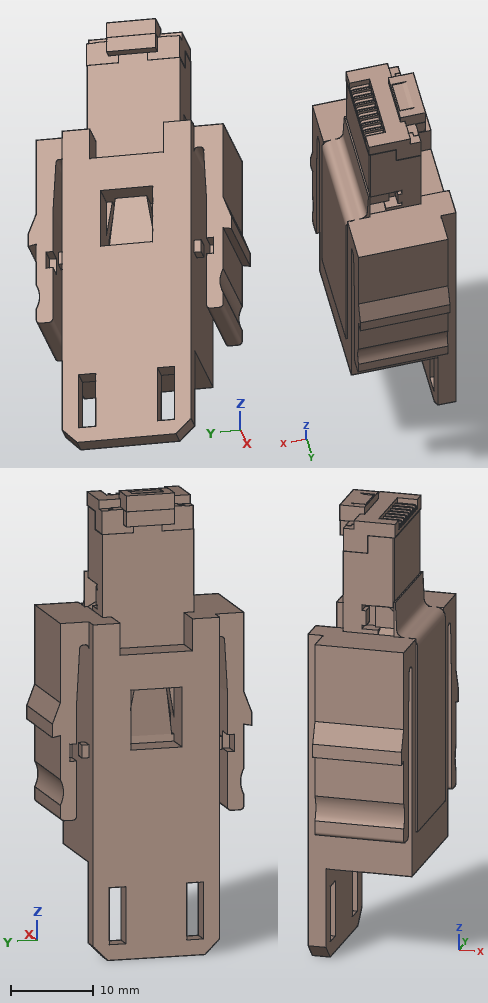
import cadquery as cq


PLATE_HALF_WIDTH = 8.03
PLATE_THICKNESS = 2.26
PLATE_CHAMFER = 1.87
HOUSING_FRONT = 13.15
HOUSING_BOTTOM = 11.97
HOUSING_TOP = 41.99
TIE_SLOT_WIDTH = 2.1
TIE_SLOT_CENTER_Y = 4.91
TIE_SLOT_BOTTOM = 1.97
TIE_SLOT_TOP = 9.07
NOTCH_HALF_WIDTH = 4.6
NOTCH_BOTTOM = 38.01

WINDOW_HALF_WIDTH = 3.24
WINDOW_BOTTOM = 26.09
WINDOW_TOP = 33.56
WINDOW_DEPTH = 3.5
RECESS_BOTTOM = 26.99
RECESS_TOP_HALF_WIDTH = 2.5
RECESS_FULL_WIDTH_Z = 29.11
RECESS_DEPTH = 1.5
TONGUE_TOP_HALF_WIDTH = 1.96
TONGUE_BOTTOM_HALF_WIDTH = 2.95
TONGUE_RISE = 0.9

CLIP_BACK = 1.9
CLIP_OUTER = 11.65
CLIP_INNER = 9.57
CLIP_ROOT_INNER = 9.2
CLIP_BOTTOM = 17.36
CLIP_GAP_TOP = 39.13
CLIP_GAP_FILLET = 0.45
CLIP_END_FILLET = 0.5
HOOK_REACH = 12.65
HOOK_RAMP_TOP = 32.11
HOOK_RAMP_BOTTOM = 29.51
HOOK_TIP_BOTTOM = 27.81
HOOK_ROOT_BOTTOM = 28.01
SCALLOP_TOP = 22.51
SCALLOP_BOTTOM = 19.31
SCALLOP_DEPTH = 0.4

PEG_BOTTOM = 25.04
PEG_TOP = 26.66
PEG_REACH = 8.9
PEG_LENGTH = PEG_TOP - PEG_BOTTOM
POCKET_BOTTOM = 24.71
POCKET_TOP = 26.84
POCKET_REACH = 10.43
POCKET_LENGTH = POCKET_TOP - POCKET_BOTTOM

PLUG_BACK = 3.81
PLUG_FRONT = 10.32
PLUG_EDGE_CHAMFER = 0.16
PLUG_Y_MIN = -5.87
PLUG_Y_MAX = 5.72

CAP_HALF_WIDTH = 5.8
CAP_BACK = 3.84
CAP_STEP_X = 6.94
CAP_FRONT = 10.39
CAP_SKIRT_BOTTOM = 52.33
CAP_HEAD_BOTTOM = 54.6
CAP_SHOULDER_X = 5.17
CAP_SHOULDER_Z = 55.26
CAP_TOP = 56.34
BODY_TAB_HALF_WIDTH = 1.8
PAD_STEP_X = 4.5
PAD_BACK_HALF_WIDTH = 4.76
PAD_FRONT_HALF_WIDTH = 4.2
PAD_HEIGHT = 0.06

LATCH_HALF_WIDTH = 3.07
LATCH_BACK = 2.59
LIP_BACK = 2.62
LIP_HALF_WIDTH = 3.04
LATCH_FRONT = 5.75
LATCH_BOTTOM = 53.37
LATCH_TOP = 57.25
DIMPLE_HALF_WIDTH = 2.0
DIMPLE_BACK = 3.77
DIMPLE_RAMP_END = 4.27
DIMPLE_FRONT = 5.56
DIMPLE_DEPTH = 0.15

CONTACT_COUNT = 8
CONTACT_PITCH = 1.02
CONTACT_THICKNESS = 0.4
CONTACT_BACK = 8.0
CONTACT_DROP = 0.55
CONTACT_NOSE_RADIUS = 0.4
CONTACT_BAY_BACK = 7.87
CONTACT_BAY_DEPTH = 1.2
CONTACT_BAY_HALF_WIDTH = 4.05
DIVIDER_THICKNESS = 0.2
DIVIDER_DROP = 0.4

SIDE_BACK = 6.19
SIDE_WAIST_BACK = 6.72
SIDE_BOTTOM = 42.55
SIDE_WAIST_BOTTOM = 43.01
SIDE_WAIST_TOP = 44.91
SIDE_TOP = 45.63
CORE_HALF_WIDTH = 4.7
CORE_BACK = 7.59
CORE_TOP = 45.28
CORE_CHAMFER_X = 9.3
CORE_CHAMFER_Z = 44.36
WEB_HALF_WIDTH = 4.2
WEB_FRONT = 9.9
RAMP_BACK = 8.23

SHIELD_HALF_WIDTH = 6.12
SHIELD_FRONT = 13.35
SHIELD_BOTTOM = 17.14
SHIELD_TOP = 46.41
SHIELD_TOP_X = 10.52
SHIELD_WALL_X = 10.68
SHIELD_INNER_BEND = 0.94
SHIELD_OUTER_BEND = 1.1
SHIELD_ANCHOR_X = 12.0


def box(x_range, y_range, z_range):
    """Axis-aligned box from its (min, max) ranges."""
    size = [high - low for low, high in (x_range, y_range, z_range)]
    corner = cq.Vector(x_range[0], y_range[0], z_range[0])
    return cq.Workplane(cq.Solid.makeBox(*size, corner))


def across_y(outline, y_min, y_max):
    """Extrude a closed (x, z) outline from y_min to y_max."""
    plane = cq.Workplane("XZ", origin=(0, y_max, 0))
    return plane.polyline(outline).close().extrude(y_max - y_min)


def along_x(outline, x_min, x_max):
    """Extrude a closed (y, z) outline from x_min to x_max."""
    plane = cq.Workplane("YZ", origin=(x_min, 0, 0))
    return plane.polyline(outline).close().extrude(x_max - x_min)


def centered(half_width):
    return (-half_width, half_width)


def trapezoid(bottom_half_width, top_half_width, bottom, top):
    return [
        (-bottom_half_width, bottom),
        (bottom_half_width, bottom),
        (top_half_width, top),
        (-top_half_width, top),
    ]


def make_housing():
    width = centered(PLATE_HALF_WIDTH)
    plate = box((0, PLATE_THICKNESS), width, (0, HOUSING_TOP))
    plate = plate.faces("<Z").edges("|X").chamfer(PLATE_CHAMFER)
    for side in (-1, 1):
        center = side * TIE_SLOT_CENTER_Y
        slot_y = (center - TIE_SLOT_WIDTH / 2, center + TIE_SLOT_WIDTH / 2)
        plate = plate.cut(box((0, PLATE_THICKNESS), slot_y, (TIE_SLOT_BOTTOM, TIE_SLOT_TOP)))
    block = box((0, HOUSING_FRONT), width, (HOUSING_BOTTOM, HOUSING_TOP))
    entry_notch = box((0, PLUG_BACK), centered(NOTCH_HALF_WIDTH), (NOTCH_BOTTOM, HOUSING_TOP))
    return plate.union(block).cut(entry_notch)


def cut_window(housing):
    window_z = (WINDOW_BOTTOM, WINDOW_TOP)
    window = box((0, WINDOW_DEPTH), centered(WINDOW_HALF_WIDTH), window_z)
    recess_back = WINDOW_DEPTH + RECESS_DEPTH
    recess = along_x(
        [
            (-WINDOW_HALF_WIDTH, RECESS_BOTTOM),
            (WINDOW_HALF_WIDTH, RECESS_BOTTOM),
            (WINDOW_HALF_WIDTH, RECESS_FULL_WIDTH_Z),
            (RECESS_TOP_HALF_WIDTH, WINDOW_TOP),
            (-RECESS_TOP_HALF_WIDTH, WINDOW_TOP),
            (-WINDOW_HALF_WIDTH, RECESS_FULL_WIDTH_Z),
        ],
        WINDOW_DEPTH,
        recess_back,
    )
    tongue_top_x = WINDOW_DEPTH - TONGUE_RISE
    tongue = along_x(
        trapezoid(TONGUE_BOTTOM_HALF_WIDTH, TONGUE_TOP_HALF_WIDTH, RECESS_BOTTOM, WINDOW_TOP),
        tongue_top_x,
        recess_back,
    )
    slope = across_y(
        [
            (tongue_top_x, RECESS_BOTTOM),
            (WINDOW_DEPTH, RECESS_BOTTOM),
            (tongue_top_x, WINDOW_TOP),
        ],
        *centered(WINDOW_HALF_WIDTH),
    )
    return housing.cut(window).cut(recess).union(tongue.cut(slope))


def make_clip():
    """Clip on the +Y side, with its pocket and the peg that faces it."""
    scallop_middle = (CLIP_OUTER - SCALLOP_DEPTH, (SCALLOP_TOP + SCALLOP_BOTTOM) / 2)
    gap_round_z = CLIP_GAP_TOP - CLIP_GAP_FILLET
    clip = (
        cq.Workplane("YZ", origin=(CLIP_BACK, 0, 0))
        .moveTo(PLATE_HALF_WIDTH, HOUSING_TOP)
        .lineTo(CLIP_OUTER, HOUSING_TOP)
        .lineTo(CLIP_OUTER, HOOK_RAMP_TOP)
        .lineTo(HOOK_REACH, HOOK_RAMP_BOTTOM)
        .lineTo(HOOK_REACH, HOOK_TIP_BOTTOM)
        .lineTo(CLIP_OUTER, HOOK_ROOT_BOTTOM)
        .lineTo(CLIP_OUTER, SCALLOP_TOP)
        .threePointArc(scallop_middle, (CLIP_OUTER, SCALLOP_BOTTOM))
        .lineTo(CLIP_OUTER, CLIP_BOTTOM)
        .lineTo(CLIP_INNER, CLIP_BOTTOM)
        .lineTo(CLIP_INNER, HOOK_RAMP_TOP)
        .lineTo(CLIP_ROOT_INNER, gap_round_z)
        .radiusArc((CLIP_ROOT_INNER - CLIP_GAP_FILLET, CLIP_GAP_TOP), -CLIP_GAP_FILLET)
        .lineTo(PLATE_HALF_WIDTH + CLIP_GAP_FILLET, CLIP_GAP_TOP)
        .radiusArc((PLATE_HALF_WIDTH, gap_round_z), -CLIP_GAP_FILLET)
        .close()
        .extrude(HOUSING_FRONT - CLIP_BACK)
    )
    clip = clip.faces("<Z").edges("|X").fillet(CLIP_END_FILLET)
    pocket_x = (CLIP_BACK, CLIP_BACK + POCKET_LENGTH)
    pocket = box(pocket_x, (CLIP_INNER, POCKET_REACH), (POCKET_BOTTOM, POCKET_TOP))
    peg_x = (CLIP_BACK, CLIP_BACK + PEG_LENGTH)
    peg = box(peg_x, (PLATE_HALF_WIDTH, PEG_REACH), (PEG_BOTTOM, PEG_TOP))
    return clip.cut(pocket).union(peg)


def make_plug_body():
    body_y = (PLUG_Y_MIN, PLUG_Y_MAX)
    body = box((PLUG_BACK, PLUG_FRONT), body_y, (NOTCH_BOTTOM, CAP_HEAD_BOTTOM))
    body = body.edges("|Z and >X").chamfer(PLUG_EDGE_CHAMFER)
    cap_seat = box((PLUG_BACK, CAP_STEP_X), body_y, (CAP_SKIRT_BOTTOM, CAP_HEAD_BOTTOM))
    body_tab = box((PLUG_BACK, CAP_STEP_X), centered(BODY_TAB_HALF_WIDTH), (CAP_SKIRT_BOTTOM, LATCH_BOTTOM))
    side_notch = across_y(
        [
            (PLUG_FRONT, SIDE_TOP),
            (SIDE_BACK, SIDE_TOP),
            (SIDE_BACK, SIDE_WAIST_TOP),
            (SIDE_WAIST_BACK, SIDE_WAIST_TOP),
            (SIDE_WAIST_BACK, SIDE_WAIST_BOTTOM),
            (SIDE_BACK, SIDE_WAIST_BOTTOM),
            (SIDE_BACK, SIDE_BOTTOM),
            (RAMP_BACK, SIDE_BOTTOM),
            (RAMP_BACK, HOUSING_TOP),
            (PLUG_FRONT, HOUSING_TOP),
        ],
        PLUG_Y_MIN,
        PLUG_Y_MAX,
    )
    return body.cut(cap_seat).union(body_tab).cut(side_notch).union(make_notch_core())


def make_notch_core():
    """Core and narrower web between the side notches, with a ramp at the foot of each."""
    core = across_y(
        [
            (CORE_BACK, HOUSING_TOP),
            (PLUG_FRONT, HOUSING_TOP),
            (PLUG_FRONT, CORE_CHAMFER_Z),
            (CORE_CHAMFER_X, CORE_TOP),
            (CORE_BACK, CORE_TOP),
        ],
        *centered(CORE_HALF_WIDTH),
    )
    web = across_y(
        [
            (SIDE_BACK, HOUSING_TOP),
            (CORE_BACK, HOUSING_TOP),
            (CORE_BACK, CORE_TOP),
            (WEB_FRONT, CORE_TOP),
            (WEB_FRONT, SIDE_TOP),
            (SIDE_BACK, SIDE_TOP),
        ],
        *centered(WEB_HALF_WIDTH),
    )
    ramp = along_x(
        [
            (PLUG_Y_MIN, HOUSING_TOP),
            (PLUG_Y_MAX, HOUSING_TOP),
            (CORE_HALF_WIDTH, SIDE_BOTTOM),
            (-CORE_HALF_WIDTH, SIDE_BOTTOM),
        ],
        RAMP_BACK,
        PLUG_FRONT,
    )
    return core.union(web).union(ramp)


def make_cap():
    cap = across_y(
        [
            (CAP_BACK, CAP_SKIRT_BOTTOM),
            (CAP_STEP_X, CAP_SKIRT_BOTTOM),
            (CAP_STEP_X, CAP_HEAD_BOTTOM),
            (CAP_FRONT, CAP_HEAD_BOTTOM),
            (CAP_FRONT, CAP_TOP),
            (CAP_SHOULDER_X, CAP_TOP),
            (CAP_SHOULDER_X, CAP_SHOULDER_Z),
            (CAP_BACK, CAP_SHOULDER_Z),
        ],
        *centered(CAP_HALF_WIDTH),
    )
    return fit_contacts(cap).union(make_shoulder_pad()).union(make_latch())


def make_contact(center_y):
    """Contact blade with a rounded front edge."""
    blade_top = CAP_TOP - CONTACT_DROP
    blade_x = (CONTACT_BACK, CAP_FRONT)
    blade_y = (center_y - CONTACT_THICKNESS / 2, center_y + CONTACT_THICKNESS / 2)
    blade = box(blade_x, blade_y, (CAP_TOP - CONTACT_BAY_DEPTH, blade_top))
    return blade.edges("|Y and >X and >Z").fillet(CONTACT_NOSE_RADIUS)


def fit_contacts(cap):
    """Sink the contact bay, then fill it with blades and the dividers between them."""
    bay_z = (CAP_TOP - CONTACT_BAY_DEPTH, CAP_TOP)
    bay = box((CONTACT_BAY_BACK, CAP_FRONT), centered(CONTACT_BAY_HALF_WIDTH), bay_z)
    cap = cap.cut(bay)
    first_y = -(CONTACT_COUNT - 1) * CONTACT_PITCH / 2
    for index in range(CONTACT_COUNT):
        cap = cap.union(make_contact(first_y + index * CONTACT_PITCH))
    divider_z = (CAP_TOP - CONTACT_BAY_DEPTH, CAP_TOP - DIVIDER_DROP)
    for index in range(CONTACT_COUNT - 1):
        divider_y = first_y + (index + 0.5) * CONTACT_PITCH - DIVIDER_THICKNESS / 2
        divider = box((CONTACT_BAY_BACK, CAP_FRONT), (divider_y, divider_y + DIVIDER_THICKNESS), divider_z)
        cap = cap.union(divider)
    return cap


def make_shoulder_pad():
    """Thin raised area on the cap shoulder, wider along its back edge."""
    pad_z = (CAP_SHOULDER_Z, CAP_SHOULDER_Z + PAD_HEIGHT)
    back = box((CAP_BACK, PAD_STEP_X), centered(PAD_BACK_HALF_WIDTH), pad_z)
    front = box((PAD_STEP_X, CAP_SHOULDER_X), centered(PAD_FRONT_HALF_WIDTH), pad_z)
    return back.union(front)


def make_latch():
    latch = box((LATCH_BACK, LATCH_FRONT), centered(LATCH_HALF_WIDTH), (CAP_SHOULDER_Z, LATCH_TOP))
    lip = box((LIP_BACK, CAP_BACK), centered(LIP_HALF_WIDTH), (LATCH_BOTTOM, CAP_SHOULDER_Z))
    dimple_floor = LATCH_TOP - DIMPLE_DEPTH
    dimple = across_y(
        [
            (DIMPLE_BACK, LATCH_TOP),
            (DIMPLE_RAMP_END, dimple_floor),
            (DIMPLE_FRONT, dimple_floor),
            (DIMPLE_FRONT, LATCH_TOP),
        ],
        *centered(DIMPLE_HALF_WIDTH),
    )
    return latch.union(lip).cut(dimple)


def add_shield(part):
    """Round the housing corner and add the bent sheet that covers it."""
    corner = box(
        (SHIELD_ANCHOR_X, HOUSING_FRONT),
        centered(SHIELD_HALF_WIDTH),
        (HOUSING_TOP - SHIELD_OUTER_BEND, HOUSING_TOP),
    )
    shield = (
        cq.Workplane("XZ", origin=(0, SHIELD_HALF_WIDTH, 0))
        .moveTo(PLUG_FRONT, SHIELD_BOTTOM)
        .lineTo(PLUG_FRONT, SHIELD_TOP)
        .lineTo(SHIELD_TOP_X, SHIELD_TOP)
        .lineTo(SHIELD_WALL_X, HOUSING_TOP + SHIELD_INNER_BEND)
        .radiusArc((SHIELD_WALL_X + SHIELD_INNER_BEND, HOUSING_TOP), -SHIELD_INNER_BEND)
        .lineTo(SHIELD_FRONT - SHIELD_OUTER_BEND, HOUSING_TOP)
        .radiusArc((SHIELD_FRONT, HOUSING_TOP - SHIELD_OUTER_BEND), SHIELD_OUTER_BEND)
        .lineTo(SHIELD_FRONT, SHIELD_BOTTOM)
        .close()
        .extrude(2 * SHIELD_HALF_WIDTH)
    )
    return part.cut(corner).union(shield)


housing = cut_window(make_housing())
clip = make_clip()
housing = housing.union(clip).union(clip.mirror("XZ"))
plug = make_plug_body().union(make_cap())
result = add_shield(housing.union(plug))